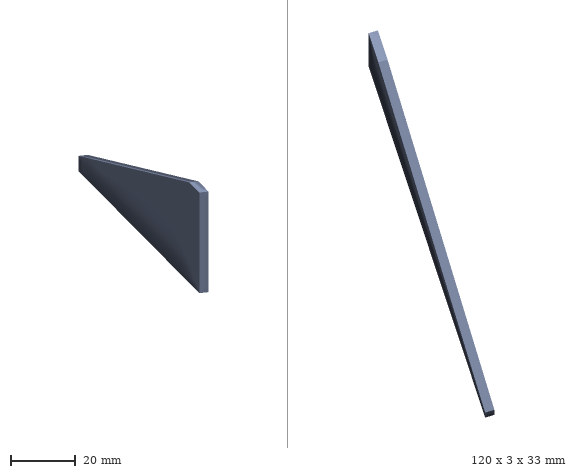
import cadquery as cq

length = 120.0
height = 33.0
thickness = 3.0
tip_height = 5.0
top_flat_length = 10.0

profile = [
    (0, 0),
    (length, 0),
    (length, height),
    (length - top_flat_length, height),
    (0, tip_height),
]

result = cq.Workplane("XZ").polyline(profile).close().extrude(-thickness)